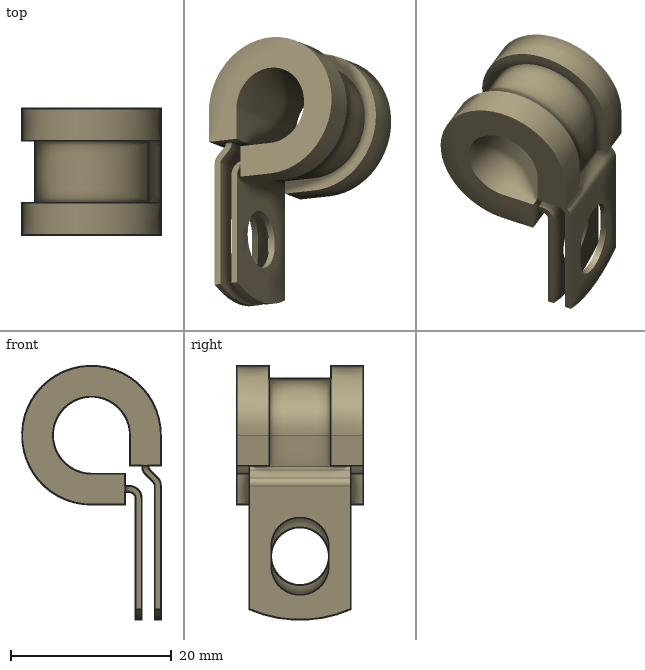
import cadquery as cq
import math

outer_diameter = 17.25
outer_radius = outer_diameter / 2
bore_radius = 4.75
cushion_width = 15.75
side_leg_length = 3.8
bottom_leg_length = 4.17

groove_width = 7.67
strap_outer_radius = 7.07
strap_thickness = 0.8
strap_inner_radius = strap_outer_radius - strap_thickness

tab_width = 12.65
overall_height = 31.55
tab_bottom = outer_radius - overall_height
tab_end_rise = 1.33
lower_tab_right = 6.25
lower_tab_left = lower_tab_right - strap_thickness
upper_tab_right = outer_radius
upper_tab_left = upper_tab_right - strap_thickness
lower_bend_radius = 0.8
jog_bend_radius = 0.63
jog_top = -4.45
jog_angle = 45
hole_radius = 3.57
hole_height = -15.02
slot_length = 9.6


def extrude_centred(sketch, width):
    """Extrude an XZ outline symmetrically about Y = 0."""
    return sketch.extrude(width / 2, both=True)


def c_outline(outer, inner):
    """C-shaped outline: three quarters of a ring plus both legs."""
    diagonal = math.sqrt(0.5)
    return (
        cq.Workplane("XZ")
        .moveTo(outer, -side_leg_length)
        .lineTo(outer, 0)
        .threePointArc((-outer * diagonal, outer * diagonal), (0, -outer))
        .lineTo(bottom_leg_length, -outer)
        .lineTo(bottom_leg_length, -inner)
        .lineTo(0, -inner)
        .threePointArc((-inner * diagonal, inner * diagonal), (inner, 0))
        .lineTo(inner, -side_leg_length)
        .close()
    )


def round_bend(strip, inner_corner, outer_corner, inner_radius):
    """Round both faces of a strap bend concentrically."""
    bends = ((inner_corner, inner_radius), (outer_corner, inner_radius + strap_thickness))
    for (x, z), radius in bends:
        corner = cq.selectors.NearestToPointSelector((x, 0, z))
        strip = strip.edges("|Y").edges(corner).fillet(radius)
    return strip


def make_cushion():
    side_bands = extrude_centred(c_outline(outer_radius, bore_radius), cushion_width)
    groove = extrude_centred(c_outline(outer_radius, strap_outer_radius), groove_width)
    return side_bands.cut(groove)


def make_lower_tab():
    outline = (
        cq.Workplane("XZ")
        .polyline([
            (0, -strap_inner_radius),
            (lower_tab_right, -strap_inner_radius),
            (lower_tab_right, tab_bottom),
            (lower_tab_left, tab_bottom),
            (lower_tab_left, -strap_outer_radius),
            (0, -strap_outer_radius),
        ])
        .close()
    )
    return round_bend(
        extrude_centred(outline, tab_width),
        (lower_tab_left, -strap_outer_radius),
        (lower_tab_right, -strap_inner_radius),
        lower_bend_radius,
    )


def make_upper_tab():
    jog_drop = (upper_tab_left - strap_inner_radius) / math.tan(math.radians(jog_angle))
    corner_rise = strap_thickness * math.tan(math.radians(jog_angle / 2))
    top_left = (strap_inner_radius, jog_top)
    top_right = (strap_outer_radius, jog_top + corner_rise)
    bottom_left = (upper_tab_left, jog_top - jog_drop)
    bottom_right = (upper_tab_right, jog_top - jog_drop + corner_rise)
    outline = (
        cq.Workplane("XZ")
        .polyline([
            (strap_inner_radius, 0),
            top_left,
            bottom_left,
            (upper_tab_left, tab_bottom),
            (upper_tab_right, tab_bottom),
            bottom_right,
            top_right,
            (strap_outer_radius, 0),
        ])
        .close()
    )
    strip = extrude_centred(outline, tab_width)
    strip = round_bend(strip, top_right, top_left, jog_bend_radius)
    return round_bend(strip, bottom_left, bottom_right, jog_bend_radius)


def make_tab_envelope():
    """Block with a rounded lower end that trims both tabs."""
    half_width = tab_width / 2
    return (
        cq.Workplane("YZ")
        .moveTo(-half_width, 0)
        .lineTo(-half_width, tab_bottom + tab_end_rise)
        .threePointArc((0, tab_bottom), (half_width, tab_bottom + tab_end_rise))
        .lineTo(half_width, 0)
        .close()
        .extrude(outer_radius)
    )


def make_mounting_openings():
    """Round hole through the lower tab and vertical slot through the upper tab."""
    hole = (
        cq.Workplane("YZ")
        .center(0, hole_height)
        .circle(hole_radius)
        .extrude(lower_tab_right)
    )
    slot = (
        cq.Workplane("YZ", origin=(lower_tab_right, 0, 0))
        .center(0, hole_height)
        .slot2D(slot_length, 2 * hole_radius, 90)
        .extrude(upper_tab_right - lower_tab_right)
    )
    return hole.union(slot)


tabs = make_lower_tab().union(make_upper_tab())
tabs = tabs.intersect(make_tab_envelope()).cut(make_mounting_openings())
result = make_cushion().union(tabs)